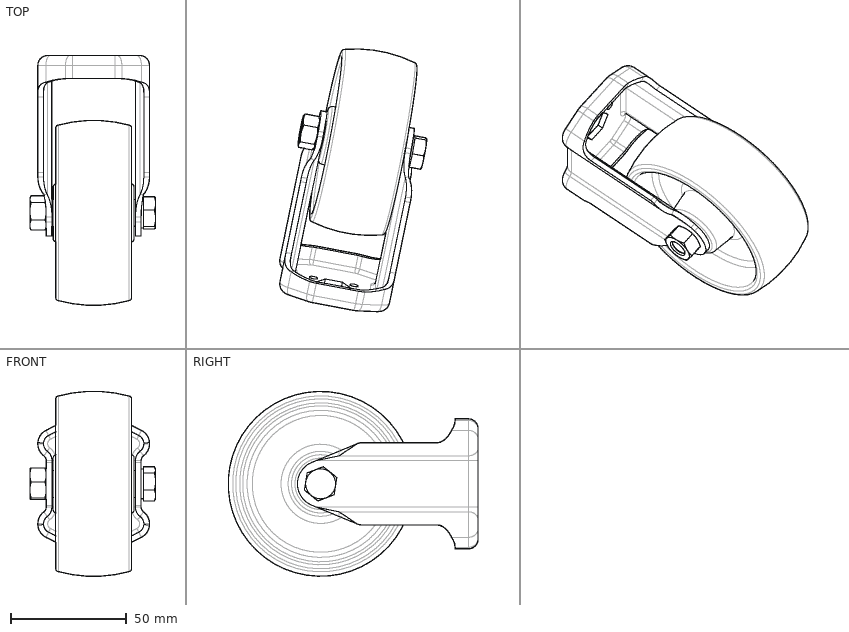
import cadquery as cq
import math


wheel_radius = 40.0
wheel_width = 32.8
shoulder_radius = 37.95
shoulder_inset = 1.15
rim_face_outer = 36.65
rim_lip_radius = 33.85
rim_root_radius = 31.4
rim_lip_round = 1.3
rim_root_round = 2.25
web_thickness = 6.0
hub_length = 35.0
hub_end_radius = 12.4
hub_root_radius = 14.4
hub_end_round = 1.5
hub_root_round = 3.1

sheet = 2.5
bracket_width = 48.3
side_gap = 36.0
plate_offset = 68.0
plate_height = 56.2
plate_top_half = 9.2
bulge_height = 17.3
bend_radius = 6.5
waist_radius = 2.5
back_round = 4.3
rim_wall_depth = 10.0
arm_half_height = 17.6
arm_taper_start = 16.5
arm_end_radius = 10.0
arm_root_round = 8.0
arm_taper_round = 5.0

mount_hex_corners = 15.0
pin_hole_diameter = 3.6
pin_circle_radius = 10.3
pin_hole_angles = (30, 150)

bolt_diameter = 8.0
bolt_tip_chamfer = 0.5
hex_corners = 15.0
hex_flat_circle = 12.9
hex_chamfer_height = 0.5
nut_height = 7.0
nut_turn = -6.0
head_height = 5.3
head_turn = 21.0
head_collar_diameter = 13.0
head_collar_height = 0.9
bolt_end_recess = 0.8
sleeve_diameter = 11.7

side_outer = side_gap / 2 + sheet
joint_tolerance = 1e-6


def polar(center, radius, degrees):
    """Point at an angle on a circle."""
    angle = math.radians(degrees)
    return (center[0] + radius * math.cos(angle), center[1] + radius * math.sin(angle))


def rounded_path(work, corners):
    """Continue a path through (point, corner radius) pairs, rounding each corner with a tangent arc.

    The path must stand on the first pair; the last pair is its end.
    """
    for (before, _), (corner, radius), (after, _) in zip(corners, corners[1:], corners[2:]):
        point = cq.Vector(*corner)
        to_before = (cq.Vector(*before) - point).normalized()
        to_after = (cq.Vector(*after) - point).normalized()
        half_angle = to_before.getAngle(to_after) / 2
        reach = radius / math.tan(half_angle)
        center = point + (to_before + to_after).normalized() * (radius / math.sin(half_angle))
        start = point + to_before * reach
        middle = center + (point - center).normalized() * radius
        end = point + to_after * reach
        work = work.lineTo(start.x, start.y).threePointArc((middle.x, middle.y), (end.x, end.y))
    return work.lineTo(*corners[-1][0])


def rod(diameter, start, end):
    """Round rod on the axle between two X positions."""
    return cq.Workplane("YZ").workplane(offset=start).circle(diameter / 2).extrude(end - start)


def make_wheel():
    face = wheel_width / 2
    web = web_thickness / 2
    hub = hub_length / 2
    side = [
        ((face, rim_face_outer), 0),
        ((face, rim_lip_radius), rim_lip_round),
        ((web, rim_root_radius), rim_root_round),
        ((web, hub_root_radius), hub_root_round),
        ((hub, hub_end_radius), hub_end_round),
        ((hub, sleeve_diameter / 2), 0),
    ]
    shoulder = face - shoulder_inset
    rise = shoulder_radius - rim_face_outer
    corner_radius = (shoulder_inset ** 2 + rise ** 2) / (2 * shoulder_inset)
    sweep = math.degrees(math.asin(rise / corner_radius))
    corner_middle = polar((face - corner_radius, rim_face_outer), corner_radius, sweep / 2)

    left_side = [((-x, r), radius) for (x, r), radius in reversed(side)]
    profile = cq.Workplane("XY").moveTo(-shoulder, shoulder_radius)
    profile = profile.threePointArc((0, wheel_radius), (shoulder, shoulder_radius))
    profile = profile.threePointArc(corner_middle, side[0][0])
    profile = rounded_path(profile, side).lineTo(*left_side[0][0])
    profile = rounded_path(profile, left_side)
    left_middle = (-corner_middle[0], corner_middle[1])
    profile = profile.threePointArc(left_middle, (-shoulder, shoulder_radius)).close()
    return profile.revolve(360, (0, 0, 0), (1, 0, 0))


def inner_outline():
    """Closed outline of the bracket's inner surface in X and Z, one sheet inside the outer sizes."""
    bulge = (bracket_width / 2 - bend_radius, bulge_height)
    shoulder = (plate_top_half, plate_height / 2 - bend_radius)
    slope_normal = math.degrees(math.atan2(bulge[0] - shoulder[0], shoulder[1] - bulge[1]))
    bend_sum = bend_radius + waist_radius
    waist_depth = bracket_width / 2 - side_outer
    waist_bend = math.degrees(math.acos(1 - waist_depth / bend_sum))
    waist = polar(bulge, bend_sum, -waist_bend)
    convex = bend_radius - sheet
    concave = waist_radius + sheet

    arcs = [
        (shoulder, convex, 90, slope_normal),
        (bulge, convex, slope_normal, -waist_bend),
        (waist, concave, 180 - waist_bend, 180),
    ]
    quadrant = [
        [polar(center, radius, angle) for angle in (first, (first + last) / 2, last)]
        for center, radius, first, last in arcs
    ]

    def mirrored(chain, x_sign, z_sign):
        return [[(x_sign * x, z_sign * z) for x, z in arc] for arc in chain]

    backward = [arc[::-1] for arc in quadrant[::-1]]
    loop = quadrant + mirrored(backward, 1, -1) + mirrored(quadrant, -1, -1) + mirrored(backward, -1, 1)
    outline = cq.Workplane("XZ", origin=(0, plate_offset - sheet, 0)).moveTo(*loop[0][0])
    path_end = loop[0][0]
    for start, middle, end in loop:
        if math.dist(path_end, start) > joint_tolerance:
            outline = outline.lineTo(*start)
        outline = outline.threePointArc(middle, end)
        path_end = end
    return outline.close()


def arm_profile():
    """Bracket outline in Y and Z, extruded along X through both sides; it trims the inner skin."""
    wall_front = plate_offset - rim_wall_depth
    distance = math.hypot(arm_taper_start, arm_half_height)
    bearing = math.degrees(math.atan2(arm_half_height, arm_taper_start))
    tangent_angle = bearing + math.degrees(math.acos(arm_end_radius / distance))
    tangent = polar((0, 0), arm_end_radius, tangent_angle)
    top = [
        ((plate_offset, plate_height), 0),
        ((wall_front, plate_height), 0),
        ((wall_front, arm_half_height), arm_root_round),
        ((arm_taper_start, arm_half_height), arm_taper_round),
        (tangent, 0),
    ]
    bottom = [((y, -z), radius) for (y, z), radius in reversed(top)]
    profile = cq.Workplane("YZ").moveTo(*top[0][0]).lineTo(*top[1][0])
    profile = rounded_path(profile, top[1:])
    profile = profile.threePointArc((-arm_end_radius, 0), bottom[0][0])
    profile = rounded_path(profile, bottom[:-1]).lineTo(*bottom[-1][0]).close()
    return profile.extrude(bracket_width, both=True)


def make_bracket():
    """Sheet thickened outward from its trimmed inner skin, so its edges stay square to the sheet."""
    depth = plate_offset + arm_end_radius + sheet
    core = inner_outline().extrude(depth).faces(">Y").edges().fillet(back_round - sheet)
    front_end = core.faces("<Y").val()
    core_faces = [face for face in core.faces().vals() if not face.isSame(front_end)]
    inner_skin = cq.Shell.makeShell(core_faces).intersect(arm_profile().val())
    body = cq.Workplane(cq.occ_impl.shapes.offset(cq.Shell.makeShell(inner_skin.Faces()), sheet))

    mount_face = cq.Workplane("XZ", origin=(0, plate_offset, 0))
    opening = mount_face.polygon(6, mount_hex_corners).extrude(sheet)
    pins = [polar((0, 0), pin_circle_radius, angle) for angle in pin_hole_angles]
    pin_holes = mount_face.pushPoints(pins).circle(pin_hole_diameter / 2).extrude(sheet)
    return body.cut(opening).cut(pin_holes).cut(rod(bolt_diameter, -side_outer, side_outer))


def hexagon(start, height, turn, chamfered_ends):
    """Hexagon on the axle from X = start, its corners chamfered at the chosen ends."""
    prism = cq.Workplane("YZ").workplane(offset=start).polygon(6, hex_corners).extrude(height)
    chamfer_width = (hex_corners - hex_flat_circle) / 2
    envelope = rod(hex_corners, start, start + height)
    for end in chamfered_ends:
        envelope = envelope.faces(end).chamfer(hex_chamfer_height, chamfer_width)
    return prism.rotate((0, 0, 0), (1, 0, 0), turn).intersect(envelope)


def make_nut():
    start = -side_outer - nut_height
    return hexagon(start, nut_height, nut_turn, ("<X", ">X")).cut(rod(bolt_diameter, start, -side_outer))


def make_bolt():
    collar_end = side_outer + head_collar_height
    tip = -side_outer - nut_height + bolt_end_recess
    shank = rod(bolt_diameter, tip, side_outer).faces("<X").chamfer(bolt_tip_chamfer)
    collar = rod(head_collar_diameter, side_outer, collar_end)
    head = hexagon(collar_end, head_height, head_turn, (">X",))
    return shank.union(collar).union(head)


def make_sleeve():
    """Spacer tube through the hub, clamped between the bracket sides."""
    tube = rod(sleeve_diameter, -side_gap / 2, side_gap / 2)
    return tube.cut(rod(bolt_diameter, -side_gap / 2, side_gap / 2))


bracket = make_bracket()
wheel = make_wheel()
sleeve = make_sleeve()
bolt = make_bolt()
nut = make_nut()

result = cq.Compound.makeCompound([bracket.val(), wheel.val(), sleeve.val(), bolt.val(), nut.val()])